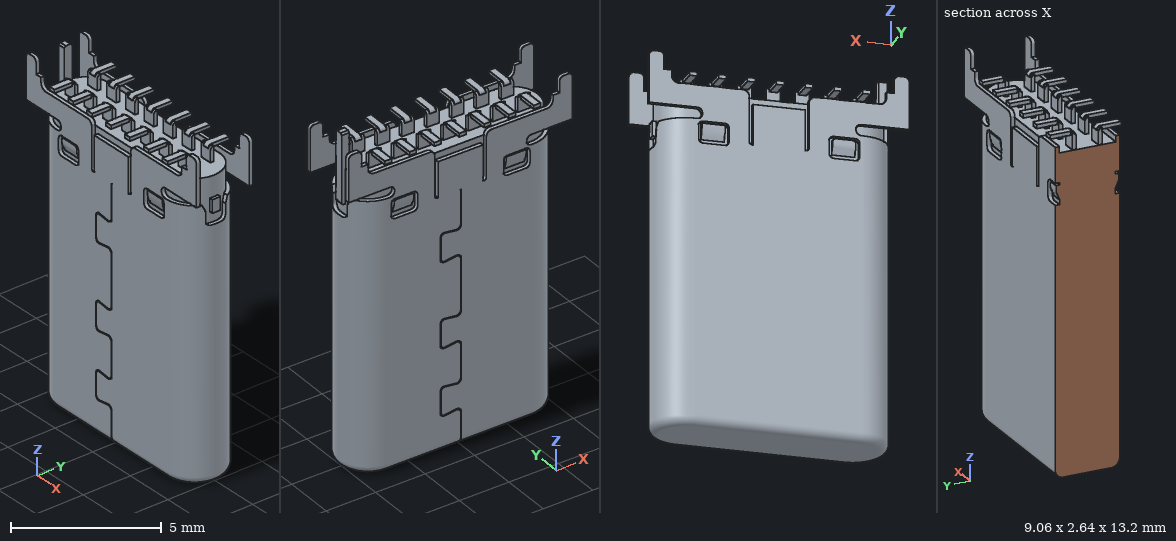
import cadquery as cq

SHELL_LENGTH = 8.25
SHELL_DEPTH = 2.4
WALL = 0.16
SHELL_TOP = 10.78
MOUTH_RADIUS = 0.3
CORE_BOTTOM = 1.05
CORE_TOP = 11.75
CORE_LENGTH = SHELL_LENGTH - 2 * WALL
CORE_DEPTH = SHELL_DEPTH - 2 * WALL
SHELL_FACE = SHELL_DEPTH / 2
CORE_FACE = CORE_DEPTH / 2

PLATE_HALF = 4.53
PLATE_BOTTOM = 11.18
PLATE_TOP = 11.97
EAR_TOP = 13.03
EAR_WIDTH = 0.53
EAR_TIP_RADIUS = 0.17
STEP_Z = 12.41
STEP_WIDTH = 0.26
STEP_FILLET = 0.25
NECK_HALF = 2.67

FLAP_HALF = 0.91
FLAP_TOP = 11.48
FLAP_SLOT_WIDTH = 0.13
FLAP_SLOT_BOTTOM = 10.06
FLAP_SLOT_RADIUS = 0.1
SHOULDER_RADIUS = 0.21

NOTCH_BOTTOM = 9.97
NOTCH_HALF = 0.42
NOTCH_MOUTH_HALF = 0.54
NOTCH_TAPER_Z = 10.53
NOTCH_RADIUS = 0.18

WINDOW_X = 2.27
WINDOW_WIDTH = 1.07
WINDOW_HEIGHT = 0.78
WINDOW_RADIUS = 0.17
LEFT_WINDOW_Z = 10.27
RIGHT_WINDOW_Z = 10.32
LATCH_WIDTH = 0.8
LATCH_HEIGHT = 0.54
LATCH_RISE = 0.13
LATCH_SHIFT = 0.05
LATCH_NOSE_DROP = 0.24
LATCH_NOSE_RADIUS = 0.32
LATCH_CORNER_RADIUS = 0.1

SEAM_TOP = 10.03
SEAM_WIDTH = 0.07
KEY_CENTRES = (1.95, 4.62, 8.01)
KEY_REACH = 0.82
KEY_TIP_HALF = 0.61
KEY_NECK_HALF = 0.5
KEY_RADIUS = 0.16

CONTACT_COUNT = 7
CONTACT_PITCH = 1.0
LEG_WIDTH = 0.5
LEG_TOP = 12.34
LEG_INNER_Y = 0.41
ARM_WIDTH = 0.28
ARM_TOP = 12.38
ARM_END_Y = 1.32
CONTACT_THICKNESS = 0.15
BEND_RADIUS = 0.13

PIN_OUTER_X = 4.09
PIN_THICKNESS = 0.3
PIN_WIDTH = 0.34
PIN_BOTTOM = 10.39
PIN_TOP = 13.2
PIN_TIP_CHAMFER = 0.07
PIN_FOOT_CHAMFER = 0.05
STUB_TOP = 10.92


def box(x0, x1, y0, y1, z0, z1):
    """Box spanning the given limits along each axis."""
    return cq.Workplane("XY").box(x1 - x0, y1 - y0, z1 - z0, centered=False).translate((x0, y0, z0))


def stadium(length, depth, z0, z1):
    return cq.Workplane("XY").workplane(offset=z0).slot2D(length, depth).extrude(z1 - z0)


def both_faces(front):
    """A feature of the front face together with its mirror on the back face."""
    return front.union(front.mirror("XZ"))


def front_wall(outline):
    """Extrude an XZ outline through the wall thickness of the front face."""
    return outline.extrude(WALL).translate((0, -CORE_FACE, 0))


def make_shell():
    outer = stadium(SHELL_LENGTH, SHELL_DEPTH, 0, SHELL_TOP).faces("<Z").edges().fillet(MOUTH_RADIUS)
    return outer.cut(stadium(CORE_LENGTH, CORE_DEPTH, CORE_BOTTOM, SHELL_TOP))


def make_plate():
    """Front plate: ears at both ends, necked down to meet the shell."""
    ear_inner = PLATE_HALF - EAR_WIDTH
    step_inner = ear_inner - STEP_WIDTH
    recess_half = FLAP_HALF + FLAP_SLOT_WIDTH
    notch_radius = (PLATE_BOTTOM - SHELL_TOP) / 2
    outline = (
        cq.Workplane("XZ")
        .moveTo(0, SHELL_TOP)
        .lineTo(NECK_HALF + notch_radius, SHELL_TOP)
        .threePointArc((NECK_HALF, SHELL_TOP + notch_radius), (NECK_HALF + notch_radius, PLATE_BOTTOM))
        .lineTo(PLATE_HALF, PLATE_BOTTOM)
        .lineTo(PLATE_HALF, EAR_TOP - EAR_TIP_RADIUS)
        .radiusArc((PLATE_HALF - EAR_TIP_RADIUS, EAR_TOP), -EAR_TIP_RADIUS)
        .lineTo(ear_inner + EAR_TIP_RADIUS, EAR_TOP)
        .radiusArc((ear_inner, EAR_TOP - EAR_TIP_RADIUS), -EAR_TIP_RADIUS)
        .lineTo(ear_inner, STEP_Z)
        .lineTo(step_inner, STEP_Z)
        .lineTo(step_inner, PLATE_TOP + STEP_FILLET)
        .radiusArc((step_inner - STEP_FILLET, PLATE_TOP), STEP_FILLET)
        .lineTo(recess_half + SHOULDER_RADIUS, PLATE_TOP)
        .radiusArc((recess_half, PLATE_TOP - SHOULDER_RADIUS), -SHOULDER_RADIUS)
        .lineTo(recess_half, FLAP_TOP)
        .lineTo(0, FLAP_TOP)
        .close()
    )
    half = front_wall(outline)
    return half.union(half.mirror("YZ"))


def make_flap_slots():
    """Two slots open at the plate top, each with its outer lower corner rounded."""
    outer_half = FLAP_HALF + FLAP_SLOT_WIDTH
    slot = box(FLAP_HALF, outer_half, -SHELL_FACE, -CORE_FACE, FLAP_SLOT_BOTTOM, PLATE_TOP)
    slot = slot.edges("|Y and >X and <Z").fillet(FLAP_SLOT_RADIUS)
    return slot.union(slot.mirror("YZ"))


def make_end_notches():
    """Notch outline swept along X across both rounded ends."""
    return (
        cq.Workplane("YZ")
        .polyline([
            (-NOTCH_MOUTH_HALF, SHELL_TOP),
            (-NOTCH_HALF, NOTCH_TAPER_Z),
            (-NOTCH_HALF, NOTCH_BOTTOM),
            (NOTCH_HALF, NOTCH_BOTTOM),
            (NOTCH_HALF, NOTCH_TAPER_Z),
            (NOTCH_MOUTH_HALF, SHELL_TOP),
        ])
        .close()
        .extrude(SHELL_LENGTH / 2, both=True)
        .edges("|X and <Z")
        .fillet(NOTCH_RADIUS)
    )


def make_window(x, z):
    window = cq.Workplane("XZ").center(x, z).rect(WINDOW_WIDTH, WINDOW_HEIGHT)
    return front_wall(window).edges("|Y").fillet(WINDOW_RADIUS)


def latch_start(x, z):
    """Sketch plane across the latch, with its origin on the core face."""
    return cq.Workplane("YZ", origin=(x - LATCH_WIDTH / 2, -CORE_FACE, z + LATCH_SHIFT))


def make_wedge_latch(x, z):
    """Tab with a flat upper face and a rounded nose, sloping back to the core below."""
    half = LATCH_HEIGHT / 2
    tab = (
        latch_start(x, z)
        .polyline([(0, -half), (-LATCH_RISE, half - LATCH_NOSE_DROP), (-LATCH_RISE, half), (0, half)])
        .close()
        .extrude(LATCH_WIDTH)
    )
    tab = tab.edges("|X and <Y and (not >Z)").fillet(LATCH_NOSE_RADIUS)
    return tab.edges("|Y and >Z").fillet(LATCH_CORNER_RADIUS)


def make_curved_latch(x, z):
    """Tab upright at its upper edge, curving back to the core below."""
    half = LATCH_HEIGHT / 2
    curve_radius = (LATCH_HEIGHT**2 + LATCH_RISE**2) / (2 * LATCH_RISE)
    return (
        latch_start(x, z)
        .moveTo(0, -half)
        .radiusArc((-LATCH_RISE, half), curve_radius)
        .lineTo(0, half)
        .close()
        .extrude(LATCH_WIDTH)
    )


def make_seam():
    """Thin gap following the edge of the left half, whose edge is notched by the keys."""
    margin = 2 * KEY_REACH
    edge = [(0, -margin)]
    for z in KEY_CENTRES:
        edge.append((0, z - KEY_NECK_HALF))
        edge.append((-KEY_REACH, z - KEY_TIP_HALF))
        edge.append((-KEY_REACH, z + KEY_TIP_HALF))
        edge.append((0, z + KEY_NECK_HALF))
    edge.append((0, SEAM_TOP + margin))
    far_side = [(-2 * margin, SEAM_TOP + margin), (-2 * margin, -margin)]
    outline = cq.Workplane("XZ").polyline(edge + far_side).close()
    left_half = front_wall(outline).edges("|Y").fillet(KEY_RADIUS)

    def grown(offset):
        return left_half.faces(">Y").wires().toPending().offset2D(offset).extrude(WALL)

    gap = grown(SEAM_WIDTH / 2).cut(grown(-SEAM_WIDTH / 2))
    return gap.intersect(box(-margin, margin, -SHELL_FACE, -CORE_FACE, 0, SEAM_TOP))


def make_contact(x):
    """Front contact: a wide leg rising from the core, then a narrow arm bent outward."""
    leg_outer_y = LEG_INNER_Y + CONTACT_THICKNESS
    arm_bottom = ARM_TOP - CONTACT_THICKNESS
    leg = box(x - LEG_WIDTH / 2, x + LEG_WIDTH / 2, -leg_outer_y, -LEG_INNER_Y, CORE_BOTTOM, LEG_TOP)
    arm = box(x - ARM_WIDTH / 2, x + ARM_WIDTH / 2, -ARM_END_Y, -LEG_INNER_Y, arm_bottom, ARM_TOP)
    bend_edge = "|X and >Y and >Z"
    return leg.edges(bend_edge).fillet(BEND_RADIUS).union(arm.edges(bend_edge).fillet(BEND_RADIUS))


def make_pin():
    """Tall pin tapered across its width at the tip and bevelled on its outer lower edge."""
    pin = box(-PIN_OUTER_X, PIN_THICKNESS - PIN_OUTER_X, -PIN_WIDTH / 2, PIN_WIDTH / 2, PIN_BOTTOM, PIN_TOP)
    pin = pin.edges("|Y and <X and <Z").chamfer(PIN_FOOT_CHAMFER)
    return pin.faces(">Z").edges("|X").chamfer(PIN_TIP_CHAMFER)


def make_stub():
    return box(PIN_OUTER_X - PIN_THICKNESS, PIN_OUTER_X, -PIN_WIDTH / 2, PIN_WIDTH / 2, PIN_BOTTOM, STUB_TOP)


shell = make_shell().union(both_faces(make_plate()))
shell = shell.cut(make_end_notches())
shell = shell.cut(both_faces(make_flap_slots()))
shell = shell.cut(both_faces(make_window(-WINDOW_X, LEFT_WINDOW_Z)))
shell = shell.cut(both_faces(make_window(WINDOW_X, RIGHT_WINDOW_Z)))
shell = shell.cut(make_seam())

core = stadium(CORE_LENGTH, CORE_DEPTH, CORE_BOTTOM, CORE_TOP)
core = core.union(both_faces(make_wedge_latch(-WINDOW_X, LEFT_WINDOW_Z)))
core = core.union(both_faces(make_curved_latch(WINDOW_X, RIGHT_WINDOW_Z)))
core = core.union(make_pin()).union(make_stub())
for index in range(CONTACT_COUNT):
    contact_x = (index - (CONTACT_COUNT - 1) / 2) * CONTACT_PITCH
    core = core.union(both_faces(make_contact(contact_x)))

result = shell.union(core)